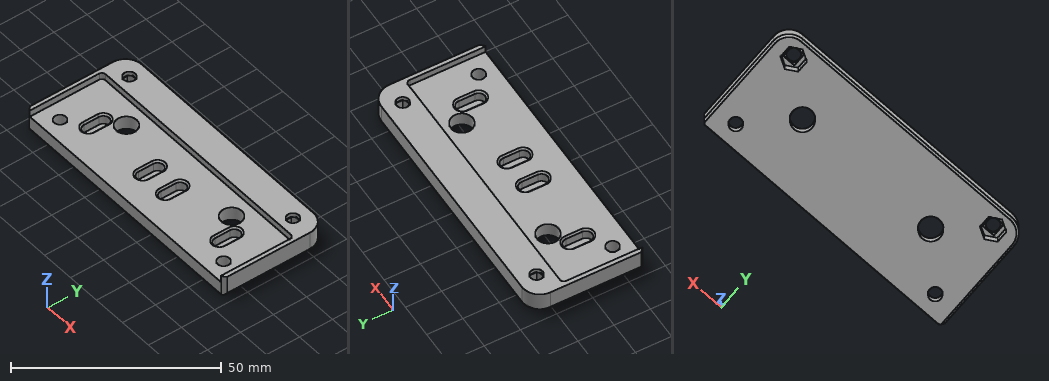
import cadquery as cq
import math

length = 76.0
width = 31.0
height = 6.0
rear_corner_radius = 5.0
front_corner_chamfer = 1.0
bottom_chamfer = 0.6

side_wall = 1.2
pocket_reach = 22.05
pocket_depth = 2.0
pocket_corner_radius = 1.1
floor_height = height - pocket_depth

screw_diameter = 3.5
screw_spacing_x = 63.0
screw_spacing_y = 21.0
front_screw_y = 5.0
rear_screw_y = front_screw_y + screw_spacing_y
nut_sides = 6
nut_across_flats = 5.55
nut_roof = 1.5
nut_step = 0.2

large_diameter = 6.1
large_spacing = 40.5
large_y = 16.3

slot_width = 3.5
slot_length = 8.0
slot_bevel = 0.5
bevel_angle = 45
slot_bottom = 1.0
slot_y = 10.95
outer_slot_x = 25.2
inner_slot_x = 4.3


def make_plate():
    """Plate with rounded rear corners, cut front corners and a bevelled underside on three sides."""
    plate = cq.Workplane("XY").box(length, width, height, centered=(True, False, False))
    plate = plate.edges("|Z and >Y").fillet(rear_corner_radius)
    plate = plate.faces("<Z").edges("not <Y").chamfer(bottom_chamfer)
    return plate.edges("|Z and <Y").chamfer(front_corner_chamfer)


def make_pocket():
    """Shallow pocket with rounded rear corners."""
    pocket = cq.Workplane("XY", origin=(0, 0, floor_height)).box(
        length - 2 * side_wall, pocket_reach, pocket_depth, centered=(True, False, False)
    )
    return pocket.edges("|Z and >Y").fillet(pocket_corner_radius)


def make_bores(points, diameter, depth):
    """Vertical cylinders that rise from the underside."""
    return cq.Workplane("XY").pushPoints(points).circle(diameter / 2).extrude(depth)


def make_nut_pockets(points):
    """Hexagonal pockets in the underside, each with two flats square to X."""
    across_corners = nut_across_flats / math.cos(math.pi / nut_sides)
    nut = cq.Sketch().regularPolygon(across_corners / 2, nut_sides)
    return cq.Workplane("XY").pushPoints(points).placeSketch(nut).extrude(height - nut_roof)


def make_nut_steps(points):
    """Shallow square steps, as wide as the screw holes, in the roofs of the nut pockets."""
    return (
        cq.Workplane("XY", origin=(0, 0, height - nut_roof))
        .pushPoints(points)
        .rect(screw_diameter, screw_diameter)
        .extrude(nut_step)
    )


def make_slot(x):
    """Slot along Y, centred on x, with its rim widened by the bevel."""
    slot = (
        cq.Workplane("XY", origin=(x, slot_y, slot_bottom))
        .slot2D(slot_length, slot_width, 90)
        .extrude(floor_height - slot_bottom)
    )
    rim = (
        cq.Workplane("XY", origin=(x, slot_y, floor_height))
        .slot2D(slot_length + 2 * slot_bevel, slot_width + 2 * slot_bevel, 90)
        .extrude(-slot_bevel, taper=bevel_angle)
    )
    return slot.union(rim)


screw_xs = (-screw_spacing_x / 2, screw_spacing_x / 2)
rear_screws = [(x, rear_screw_y) for x in screw_xs]
front_screws = [(x, front_screw_y) for x in screw_xs]
large_holes = [(x, large_y) for x in (-large_spacing / 2, large_spacing / 2)]

slot_xs = (-outer_slot_x, -inner_slot_x, inner_slot_x, outer_slot_x)

result = make_plate().cut(make_pocket())
result = result.cut(make_bores(front_screws + rear_screws, screw_diameter, height))
result = result.cut(make_nut_pockets(rear_screws))
result = result.cut(make_nut_steps(rear_screws))
result = result.cut(make_bores(large_holes, large_diameter, height))
for slot_x in slot_xs:
    result = result.cut(make_slot(slot_x))